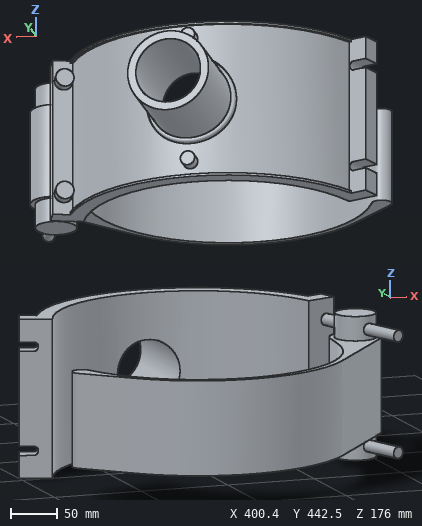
import cadquery as cq
import math

BORE_RADIUS = 157.5
FLANGE_ANGLE = 20.0

SADDLE_HEIGHT = 176.0
SADDLE_RADIUS = 173.25
LIP_RADIUS = 176.0
LIP_HEIGHT = 2.7
FLANGE_RADIUS = 193.5
FLANGE_THICKNESS = 22.05
SLOT_WIDTH = 10.0
SLOT_END_RADIUS = 172.8
SLOT_OFFSET_Z = 57.5

BRANCH_DIAMETER = 90.0
BRANCH_BORE = 72.0
BRANCH_END_Y = 277.5
COLLAR_DIAMETER = 99.0
COLLAR_RADIUS = 179.5
COLLAR_EDGE_FILLET = 2.0
STUD_DIAMETER = 15.75
STUD_END_Y = 187.5
STUD_OFFSET_Z = 70.5

BOLT_DIAMETER = 13.23
BOLT_HEAD_DIAMETER = 1.5 * BOLT_DIAMETER
BOLT_HEAD_HEIGHT = BOLT_DIAMETER
BOLT_AXIS_RADIUS = 181.7
BOLT_REACH = 121.65
BOLT_OFFSET_Z = 64.4

STRAP_HEIGHT = 105.0
STRAP_RADIUS = 165.03
PIN_DIAMETER = 45.36
PIN_LENGTH = 159.0
KNUCKLE_RADIUS = 1.25 * PIN_DIAMETER / 2
KNUCKLE_DROP = 49.4
BEAD_RADIUS = 22.05 / 2
BEAD_ANGLE = 201.9


def polar(radius, angle, center=(0.0, 0.0)):
    """Point at a radius and an angle in degrees about a center."""
    a = math.radians(angle)
    return (center[0] + radius * math.cos(a), center[1] + radius * math.sin(a))


def cylinder_z(radius, height):
    """Cylinder about the main axis, centered on the XY plane."""
    return cq.Workplane("XY").circle(radius).extrude(height / 2, both=True)


def cylinder_y(diameter, end_y, z=0.0):
    """Cylinder along +Y that starts at the main axis."""
    return cq.Workplane("XZ").center(0, z).circle(diameter / 2).extrude(-end_y)


joint_plane = cq.Plane(
    origin=(0, 0, 0),
    xDir=(*polar(1, FLANGE_ANGLE), 0),
    normal=(*polar(1, FLANGE_ANGLE - 90), 0),
)


def at_joint(radius, z):
    """Workplane on the joint face, at a radius and a height."""
    return cq.Workplane(joint_plane).center(radius, z)


def make_bolt(z):
    shank = (
        at_joint(BOLT_AXIS_RADIUS, z)
        .workplane(offset=-FLANGE_THICKNESS)
        .circle(BOLT_DIAMETER / 2)
        .extrude(FLANGE_THICKNESS + BOLT_REACH)
    )
    head = (
        at_joint(BOLT_AXIS_RADIUS, z)
        .workplane(offset=-FLANGE_THICKNESS)
        .circle(BOLT_HEAD_DIAMETER / 2)
        .extrude(-BOLT_HEAD_HEIGHT)
    )
    return shank.union(head)


bolts = [make_bolt(z) for z in (-BOLT_OFFSET_Z, BOLT_OFFSET_Z)]


def make_flange():
    """Right-hand flange block; its lower face is the joint face."""
    return (
        cq.Workplane(joint_plane)
        .center((BORE_RADIUS + FLANGE_RADIUS) / 2, 0)
        .rect(FLANGE_RADIUS - BORE_RADIUS, SADDLE_HEIGHT)
        .extrude(-FLANGE_THICKNESS)
    )


def make_slot_cutter(z):
    """Round-ended slot through the right-hand flange, open at its outer edge; mirrored for use."""
    slot_radius = SLOT_WIDTH / 2
    center_radius = SLOT_END_RADIUS + slot_radius
    open_length = FLANGE_RADIUS - center_radius
    round_end = at_joint(center_radius, z).circle(slot_radius).extrude(-FLANGE_THICKNESS)
    open_end = (
        at_joint(center_radius + open_length / 2, z)
        .rect(open_length, SLOT_WIDTH)
        .extrude(-FLANGE_THICKNESS)
    )
    return round_end.union(open_end)


def make_shell():
    """Arc of the saddle above the joint faces, with a raised lip at each end."""
    shell = cylinder_z(SADDLE_RADIUS, SADDLE_HEIGHT)
    lip_center_z = (SADDLE_HEIGHT - LIP_HEIGHT) / 2
    for z in (-lip_center_z, lip_center_z):
        shell = shell.union(cylinder_z(LIP_RADIUS, LIP_HEIGHT).translate((0, 0, z)))
    far = 2 * LIP_RADIUS
    right = polar(far, FLANGE_ANGLE)
    sector = (
        cq.Workplane("XY")
        .polyline([(0, 0), right, (right[0], far), (-right[0], far), (-right[0], right[1])])
        .close()
        .extrude(SADDLE_HEIGHT / 2, both=True)
    )
    return shell.intersect(sector)


def make_collar():
    """Raised ring around the branch, with its outer edge rounded."""
    collar = cylinder_y(COLLAR_DIAMETER, BRANCH_END_Y).intersect(
        cylinder_z(COLLAR_RADIUS, SADDLE_HEIGHT)
    )
    return collar.faces(">Y").edges().fillet(COLLAR_EDGE_FILLET)


flange = make_flange()
saddle = make_shell().union(flange).union(flange.mirror("YZ"))
saddle = saddle.union(make_collar()).union(cylinder_y(BRANCH_DIAMETER, BRANCH_END_Y))
for stud_z in (-STUD_OFFSET_Z, STUD_OFFSET_Z):
    saddle = saddle.union(cylinder_y(STUD_DIAMETER, STUD_END_Y, stud_z))
saddle = saddle.cut(cylinder_z(BORE_RADIUS, SADDLE_HEIGHT))
saddle = saddle.cut(cylinder_y(BRANCH_BORE, BRANCH_END_Y))
for slot_z in (-SLOT_OFFSET_Z, SLOT_OFFSET_Z):
    saddle = saddle.cut(make_slot_cutter(slot_z).mirror("YZ"))
for bolt in bolts:
    saddle = saddle.cut(bolt)

pin_distance = math.hypot(BOLT_AXIS_RADIUS, KNUCKLE_DROP)
pin_angle = FLANGE_ANGLE - math.degrees(math.atan2(KNUCKLE_DROP, BOLT_AXIS_RADIUS))
pin_center = polar(pin_distance, pin_angle)
bead_distance = BORE_RADIUS + BEAD_RADIUS
bead_center = polar(bead_distance, BEAD_ANGLE)


def outer_tangent_angle(radius, distance):
    """Angle from the center line to the contact radius of a tangent on the band's outside."""
    return math.degrees(math.acos((STRAP_RADIUS - radius) / distance))


def make_strap_profile():
    inner_tangent = math.degrees(math.acos((BORE_RADIUS + KNUCKLE_RADIUS) / pin_distance))
    inner_angle = pin_angle - inner_tangent
    right_angle = pin_angle - outer_tangent_angle(KNUCKLE_RADIUS, pin_distance)
    left_angle = BEAD_ANGLE + outer_tangent_angle(BEAD_RADIUS, bead_distance)
    knuckle_mid_angle = (inner_angle + 180 + right_angle) / 2
    bead_mid_angle = (BEAD_ANGLE - 180 + left_angle) / 2
    return (
        cq.Workplane("XY")
        .moveTo(*polar(BORE_RADIUS, inner_angle))
        .lineTo(*polar(KNUCKLE_RADIUS, inner_angle + 180, pin_center))
        .threePointArc(
            polar(KNUCKLE_RADIUS, knuckle_mid_angle, pin_center),
            polar(KNUCKLE_RADIUS, right_angle, pin_center),
        )
        .lineTo(*polar(STRAP_RADIUS, right_angle))
        .threePointArc(polar(STRAP_RADIUS, 270), polar(STRAP_RADIUS, left_angle))
        .lineTo(*polar(BEAD_RADIUS, left_angle, bead_center))
        .threePointArc(
            polar(BEAD_RADIUS, bead_mid_angle, bead_center),
            polar(BORE_RADIUS, BEAD_ANGLE),
        )
        .threePointArc(polar(BORE_RADIUS, 270), polar(BORE_RADIUS, inner_angle))
        .close()
    )


strap = make_strap_profile().extrude(STRAP_HEIGHT / 2, both=True)
pin = cylinder_z(PIN_DIAMETER / 2, PIN_LENGTH).translate((*pin_center, 0))
strap = strap.union(pin)
for bolt in bolts:
    strap = strap.cut(bolt)

result = cq.Compound.makeCompound([saddle.val(), strap.val(), *[bolt.val() for bolt in bolts]])